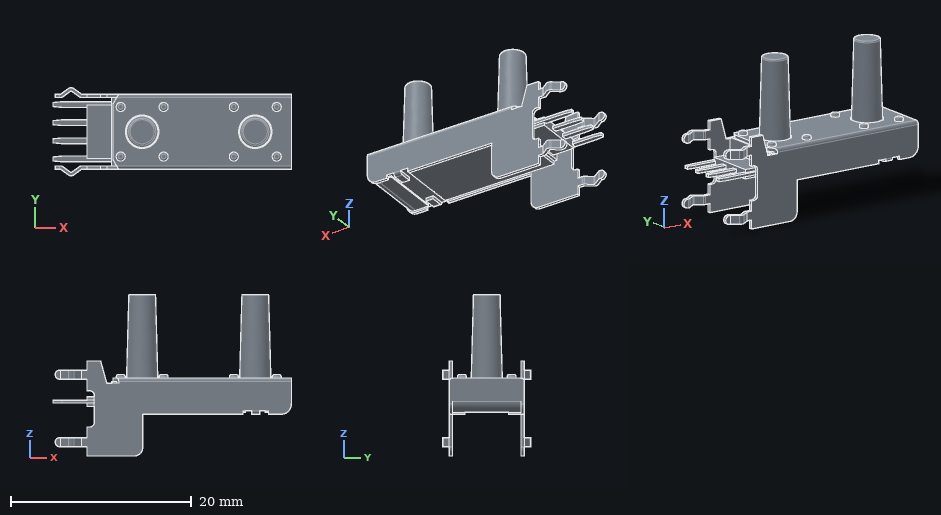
import cadquery as cq
import math


sheet = 0.4
bracket_end = 22.63
bracket_half_width = 4.17
inner_half_width = bracket_half_width - sheet
bracket_bottom = -8.65
arm_bottom = -4.04
leg_end = 6.2
leg_corner_radius = 1.0
arm_corner_radius = 1.2
lug_top = 1.9
lug_end = 1.53
notch_start = 2.22
notch_bottom = -0.55
cover_start = 2.88
bevel_end = 3.53
bevel_half_width = 3.05

recess_depth = 0.82
recess_top = -1.42
recess_bottom = -5.4
recess_radius = 0.5

tab_x = 18.68
tab_width = 0.92
tab_inner_y = 2.4
tab_bend_radius = 0.37
tab_notch_width = 2.8
tab_notch_top = arm_bottom + sheet

clip_height = 1.03
clip_length = 3.5
clip_tip_radius = 0.5
clip_levels = (0.37, -7.1)
bulge_x = -1.75
bulge_rise = 0.7
bulge_radius = 0.53
bulge_slope = math.radians(36)

housing_front = 2.72
housing_bottom = -3.8
relief_half_width = 1.45
relief_depth = 0.4
groove_width = 2.15

block_half_width = 2.98
block_height = 1.08
pin_z = -2.6
pin_count = 4
pin_pitch = 2.0
pin_width = 0.65
pin_tip_width = 0.47
pin_thickness = 0.35
pin_length = 3.75
pin_taper = 1.0
pin_embed = 0.26

button_spacing = 12.5
first_button_x = 6.12
button_positions = (first_button_x, first_button_x + button_spacing)
button_height = 9.25
button_base_diameter = 3.48
button_top_diameter = 2.98
button_edge_radius = 0.15
button_hole_diameter = 3.7
rivet_diameter = 1.0
rivet_height = 0.4
rivet_edge_radius = 0.25
rivet_offset_x = 2.37
rivet_offset_y = 2.75


def box(x0, x1, y0, y1, z0, z1):
    """Box between two opposite corners."""
    return cq.Workplane("XY").box(x1 - x0, y1 - y0, z1 - z0, centered=False).translate((x0, y0, z0))


def both_sides(shape):
    """The shape together with its mirror image across Y = 0."""
    return shape.union(shape.mirror("XZ"))


def side_plate():
    """Side plate on the +Y side, without its clips."""
    outline = [
        (0, bracket_bottom),
        (leg_end, bracket_bottom),
        (leg_end, arm_bottom),
        (bracket_end, arm_bottom),
        (bracket_end, 0),
        (cover_start, 0),
        (cover_start, notch_bottom),
        (notch_start, notch_bottom),
        (lug_end, lug_top),
        (0, lug_top),
    ]
    plate = cq.Workplane("XZ", origin=(0, bracket_half_width, 0)).polyline(outline).close().extrude(sheet)
    middle_y = bracket_half_width - sheet / 2
    leg_corner = cq.selectors.NearestToPointSelector((leg_end, middle_y, bracket_bottom))
    plate = plate.edges(leg_corner).fillet(leg_corner_radius)
    arm_corner = cq.selectors.NearestToPointSelector((bracket_end, middle_y, arm_bottom))
    plate = plate.edges(arm_corner).fillet(arm_corner_radius)

    recess = box(-recess_depth, recess_depth, inner_half_width, bracket_half_width, recess_bottom, recess_top)
    recess = recess.edges("|Y and >X").fillet(recess_radius)
    tab_notch = box(
        tab_x - tab_notch_width / 2, tab_x + tab_notch_width / 2,
        inner_half_width, bracket_half_width,
        arm_bottom, tab_notch_top,
    )
    return plate.cut(recess).cut(tab_notch)


def folded_tab():
    """Tab bent inward from the lower edge of the side plate."""
    tab = box(
        tab_x - tab_width / 2, tab_x + tab_width / 2,
        tab_inner_y, bracket_half_width,
        arm_bottom, tab_notch_top,
    )
    return tab.edges("|X and >Y and <Z").fillet(tab_bend_radius)


def clip(level):
    """Strip with an outward bulge and a round end, on the +Y side."""
    sine, cosine = math.sin(bulge_slope), math.cos(bulge_slope)
    half_sine, half_cosine = math.sin(bulge_slope / 2), math.cos(bulge_slope / 2)
    bottom = level - clip_height / 2

    crest_y = bracket_half_width + bulge_rise
    arc_half = bulge_radius * sine
    arc_y = crest_y - bulge_radius * (1 - cosine)
    foot_half = arc_half + (arc_y - bracket_half_width) / math.tan(bulge_slope)

    foot, arc_start, crest = (foot_half, bracket_half_width), (arc_half, arc_y), (0, crest_y)
    inner_foot = (foot_half, inner_half_width)
    inner_foot_middle = (foot_half - sheet * half_sine, bracket_half_width - sheet * half_cosine)
    inner_foot_end = (foot_half - sheet * sine, bracket_half_width - sheet * cosine)
    inner_arc_start = (arc_half - sheet * sine, arc_y - sheet * cosine)
    inner_crest = (0, crest_y - sheet)

    def root_side(point):
        return (bulge_x + point[0], point[1])

    def tip_side(point):
        return (bulge_x - point[0], point[1])

    strip = (
        cq.Workplane("XY", origin=(0, 0, bottom))
        .moveTo(sheet, bracket_half_width)
        .lineTo(*root_side(foot))
        .lineTo(*root_side(arc_start))
        .threePointArc(root_side(crest), tip_side(arc_start))
        .lineTo(*tip_side(foot))
        .lineTo(-clip_length, bracket_half_width)
        .lineTo(-clip_length, inner_half_width)
        .lineTo(*tip_side(inner_foot))
        .threePointArc(tip_side(inner_foot_middle), tip_side(inner_foot_end))
        .lineTo(*tip_side(inner_arc_start))
        .threePointArc(tip_side(inner_crest), root_side(inner_arc_start))
        .lineTo(*root_side(inner_foot_end))
        .threePointArc(root_side(inner_foot_middle), root_side(inner_foot))
        .lineTo(sheet, inner_half_width)
        .close()
        .extrude(clip_height)
    )
    round_end = box(-clip_length, sheet, inner_half_width, crest_y, bottom, bottom + clip_height)
    round_end = round_end.edges("|Y and <X").fillet(clip_tip_radius)
    return strip.intersect(round_end)


def cover():
    """Flat top of the bracket with clearance holes for the buttons."""
    plate = box(cover_start, bracket_end, -bracket_half_width, bracket_half_width, -sheet, 0)
    for x in button_positions:
        plate = plate.cut(
            cq.Workplane("XY", origin=(x, 0, -sheet)).circle(button_hole_diameter / 2).extrude(sheet)
        )
    return plate


def bend_trim():
    """Material outside the bend along the upper long edge, on the +Y side."""
    length = bracket_end - cover_start
    square = box(cover_start, bracket_end, inner_half_width, bracket_half_width, -sheet, 0)
    bend = cq.Workplane("YZ", origin=(cover_start, inner_half_width, -sheet)).circle(sheet).extrude(length)
    return square.cut(bend)


def bevel_trim():
    """Triangle removed from the front corner of the cover, on the +Y side."""
    corner = [
        (cover_start, bevel_half_width),
        (bevel_end, bracket_half_width),
        (cover_start, bracket_half_width),
    ]
    return cq.Workplane("XY", origin=(0, 0, notch_bottom)).polyline(corner).close().extrude(-notch_bottom)


def bracket():
    """Side plates, tabs, clips and cover, with the bends rounded and the front corners bevelled."""
    side = side_plate().union(folded_tab())
    for level in clip_levels:
        side = side.union(clip(level))
    body = both_sides(side).union(cover())
    return body.cut(both_sides(bend_trim())).cut(both_sides(bevel_trim()))


def housing():
    """Block inside the bracket, with corner reliefs and a groove for the tabs."""
    body = box(housing_front, bracket_end, -inner_half_width, inner_half_width, housing_bottom, -sheet)
    body = body.edges("|Y and >X and <Z").fillet(arm_corner_radius)
    relief = box(
        housing_front, housing_front + relief_depth,
        relief_half_width, inner_half_width,
        housing_bottom, housing_bottom + relief_depth,
    )
    groove_x = button_positions[1]
    groove = box(
        groove_x - groove_width / 2, groove_x + groove_width / 2,
        -inner_half_width, inner_half_width,
        housing_bottom, tab_notch_top,
    )
    return body.cut(both_sides(relief)).cut(groove)


def connector():
    """Connector block with a row of pins tapered at their tips."""
    block = box(
        0, housing_front,
        -block_half_width, block_half_width,
        pin_z - block_height / 2, pin_z + block_height / 2,
    )
    outline = [
        (housing_front + pin_embed, pin_width / 2),
        (pin_taper - pin_length, pin_width / 2),
        (-pin_length, pin_tip_width / 2),
        (-pin_length, -pin_tip_width / 2),
        (pin_taper - pin_length, -pin_width / 2),
        (housing_front + pin_embed, -pin_width / 2),
    ]
    for index in range(pin_count):
        y = (index - (pin_count - 1) / 2) * pin_pitch
        base = cq.Workplane("XY", origin=(0, y, pin_z - pin_thickness / 2))
        block = block.union(base.polyline(outline).close().extrude(pin_thickness))
    return block


def button(x):
    """Tapered push button standing on the housing, through its cover hole."""
    profile = [
        (0, -sheet),
        (button_base_diameter / 2, -sheet),
        (button_base_diameter / 2, 0),
        (button_top_diameter / 2, button_height),
        (0, button_height),
    ]
    stem = cq.Workplane("XZ").polyline(profile).close().revolve(360, (0, 0, 0), (0, 1, 0))
    return stem.faces(">Z").edges().fillet(button_edge_radius).translate((x, 0, 0))


def rivets():
    """Four rivet heads around each button."""
    centers = [
        (x + side_x * rivet_offset_x, side_y * rivet_offset_y)
        for x in button_positions
        for side_x in (-1, 1)
        for side_y in (-1, 1)
    ]
    heads = cq.Workplane("XY").pushPoints(centers).circle(rivet_diameter / 2).extrude(rivet_height)
    return heads.faces(">Z").edges().fillet(rivet_edge_radius)


result = bracket().union(housing()).union(connector()).union(rivets())
for button_x in button_positions:
    result = result.union(button(button_x))